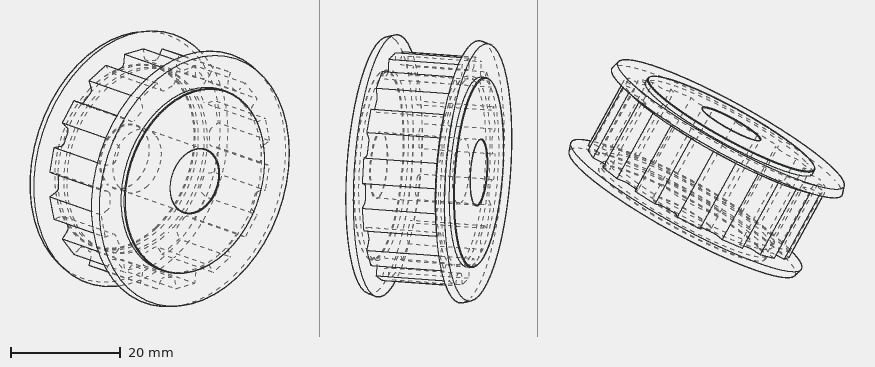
import cadquery as cq
import math

flange_radius = 24.0
hub_length = 19.0
hub_radius = 17.4
bore_radius = 6.0
edge_chamfer = 0.15

tooth_width = 13.8
flange_thickness = 1.65
rim_angle = 17.0
flat_radius = 20.95

tooth_count = 14
tip_radius = 20.85
root_radius = 18.65
root_width = 3.1
flank_angle = 20.0
root_fillet = 0.9

spigot_length = 0.8

corner_radius = tip_radius / math.cos(math.pi / tooth_count)
hub_end = hub_length / 2
seat = tooth_width / 2
flat_face = seat + flange_thickness
rim_tangent = math.tan(math.radians(rim_angle))
rim_sine = math.sin(math.radians(rim_angle))
rim_cosine = math.cos(math.radians(rim_angle))
rim_edge_radius = flange_radius - flange_thickness * rim_sine
rim_edge_face = flat_face + (rim_edge_radius - flat_radius) * rim_tangent
crest_face = rim_edge_face - flange_thickness * rim_cosine
bend_radius = flange_radius - (crest_face - seat) / rim_tangent


def make_hub_flange():
    """Flange at the +X end together with its hub end, without the bore."""
    outline = [
        (seat, 0),
        (seat, bend_radius),
        (crest_face, flange_radius),
        (rim_edge_face, rim_edge_radius),
        (flat_face, flat_radius),
        (flat_face, hub_radius),
        (hub_end - edge_chamfer, hub_radius),
        (hub_end, hub_radius - edge_chamfer),
        (hub_end, 0),
    ]
    return cq.Workplane("XY").polyline(outline).close().revolve(360, (0, 0, 0), (1, 0, 0))


def make_bore():
    """Through bore with a chamfer at each mouth, as a cutting tool."""
    mouth_radius = bore_radius + edge_chamfer
    outline = [
        (-hub_end, 0),
        (-hub_end, mouth_radius),
        (edge_chamfer - hub_end, bore_radius),
        (hub_end - edge_chamfer, bore_radius),
        (hub_end, mouth_radius),
        (hub_end, 0),
    ]
    return cq.Workplane("XY").polyline(outline).close().revolve(360, (0, 0, 0), (1, 0, 0))


def make_groove():
    """Tooth gap on the +Y side: leaning flanks, root concentric with the axis, filleted corners."""
    root_half = root_width / 2
    root_corner = math.sqrt(root_radius**2 - root_half**2)
    mouth_level = corner_radius
    mouth_half = root_half + (mouth_level - root_corner) * math.tan(math.radians(flank_angle))
    return (
        cq.Workplane("YZ", origin=(-seat, 0, 0))
        .moveTo(mouth_level, mouth_half)
        .lineTo(root_corner, root_half)
        .threePointArc((root_radius, 0), (root_corner, -root_half))
        .lineTo(mouth_level, -mouth_half)
        .close()
        .extrude(tooth_width)
        .edges("|X and <Y")
        .fillet(root_fillet)
    )


def make_toothed_ring():
    """Ring of flat-topped teeth: a prism with a groove on each corner, the first on +Y."""
    ring = (
        cq.Workplane("YZ", origin=(-seat, 0, 0))
        .polygon(tooth_count, 2 * corner_radius)
        .extrude(tooth_width)
    )
    groove = make_groove()
    for i in range(tooth_count):
        ring = ring.cut(groove.rotate((0, 0, 0), (1, 0, 0), i * 360 / tooth_count))
    return ring


def make_spigot():
    """Continuation of the -X hub end past the flange, into the toothed ring."""
    return cq.Workplane("YZ", origin=(-seat, 0, 0)).circle(hub_radius).extrude(spigot_length)


bore = make_bore()
hub_flange = make_hub_flange()
spigot = make_spigot()

toothed_body = make_toothed_ring().union(hub_flange).cut(spigot).cut(bore)

end_flange = hub_flange.mirror("YZ").union(spigot).cut(bore)

result = cq.Compound.makeCompound([toothed_body.val(), end_flange.val()])